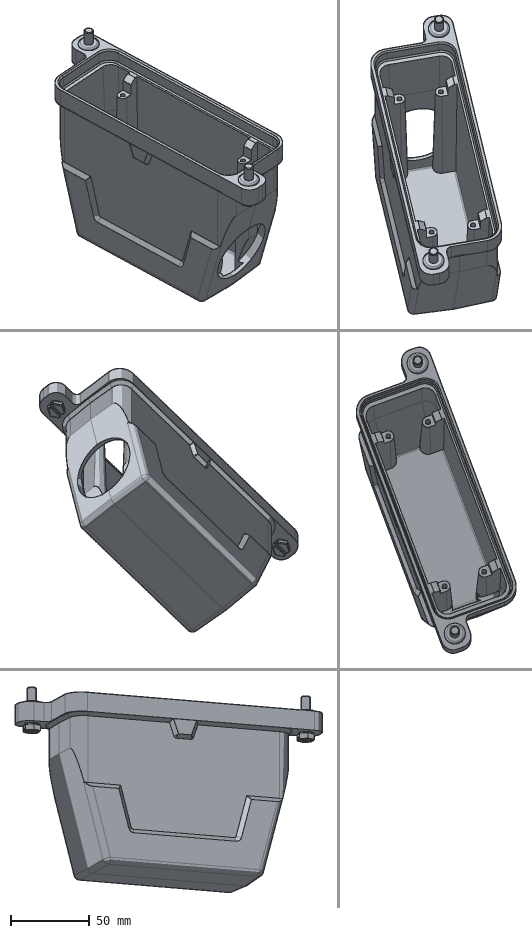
import cadquery as cq
import math

pin_top = 122.7
flange_top = 111.5
flange_thickness = 12.5
flange_bottom = flange_top - flange_thickness

flange_length = 156.3
flange_width = 57.9
flange_radius = 11.2
ear_reach = 96.5
ear_width = 19.3
ear_radius = 7.7
ear_blend_radius = 3.7

body_length = 150.5
body_width = 52.9
body_radius = 8.9
neck_height = 2.3
end_angle = 15.0
end_slope = math.tan(math.radians(end_angle))
bend_height = 76.5
parting_draft = 2.0
bottom_half = body_length / 2 - bend_height * end_slope

skirt_width = 58.0
skirt_depth = (skirt_width - body_width) / 2
skirt_top = 53.0
skirt_edge_radius = 3.9
step_height = 24.9
step_top_half = 43.2
step_bottom_half = step_top_half - (skirt_top - step_height) * end_slope
skirt_bevel = 2.9
step_corner_radius = 1.0

tab_top_half = 11.4
tab_bottom_half = 6.2
tab_width = 57.7
tab_bottom = 86.8
tab_corner_radius = 2.0

recess_depth = 9.0
recess_length = 153.2
recess_width = 53.8
recess_radius = 10.0
recess_draft = 1.0
lead_in = 1.0
seat_bevel = 1.0
ledge_height = flange_top - recess_depth
cavity_length = 143.5
cavity_width = 46.9
cavity_radius = 7.0
cavity_draft = 0.7
cavity_bend_half = 69.7
end_wall = 3.0
floor_height = 4.2
floor_radius = 1.0

post_x = 52.0
post_y = 13.5
post_height = 91.5
post_radius = 3.3
post_draft = 1.2
ramp_bottom = 99.2
ramp_inner_y = 17.5
ramp_outer_y = 21.8
post_hole_radius = 1.5
post_hole_depth = 11.5

entry_radius = 21.8
entry_height = 31.8

bolt_x = 86.5
bolt_y = 19.3
pin_radius = 3.0
pin_chamfer = 0.5
collar_radius = 6.8
collar_height = 1.5
collar_fillet = 1.4
shank_radius = 4.6
head_top = flange_bottom - 1.0
head_bottom = 93.8
head_corner_diameter = 11.5
head_turn = 24.0
head_chamfer = 0.5
slot_width = 2.0
slot_depth = 2.1


def rounded_plate(length, width, radius, bottom, height, taper=0.0):
    """Rounded rectangle centred on Z, extruded from the given level."""
    outline = cq.Sketch().rect(length, width).vertices().fillet(radius)
    return cq.Workplane("XY").workplane(offset=bottom).placeSketch(outline).extrude(height, taper=taper)


def ridged_plate(growth, bottom, height, taper=0.0):
    """Body outline grown outwards; its ends come to a shallow ridge on the mid plane."""
    tip = body_length / 2 + growth
    side = body_width / 2 + growth
    corner = tip - side * math.tan(math.radians(parting_draft))
    points = [(tip, 0), (corner, side), (-corner, side), (-tip, 0), (-corner, -side), (corner, -side)]
    outline = (
        cq.Sketch().polygon(points + points[:1])
        .vertices(">Y or <Y").fillet(body_radius + growth)
    )
    return cq.Workplane("XY").workplane(offset=bottom).placeSketch(outline).extrude(height, taper=taper)


def make_half_envelope():
    """Wedge between the leaning end walls, with draft from the mid plane towards -Y."""
    top_half = bottom_half + pin_top * end_slope
    points = [(-bottom_half, 0), (bottom_half, 0), (top_half, pin_top), (-top_half, pin_top)]
    return cq.Workplane("XZ").polyline(points).close().extrude(skirt_width / 2, taper=parting_draft)


def on_both_sides(solid):
    """The solid joined with its mirror image across the XZ plane."""
    return solid.union(solid.mirror("XZ"))


def make_flange():
    plate = rounded_plate(flange_length, flange_width, flange_radius, flange_bottom, flange_thickness)
    ear_y = (flange_width - ear_width) / 2
    ear = (
        cq.Workplane("XY").workplane(offset=flange_bottom)
        .center(ear_reach / 2, -ear_y)
        .rect(ear_reach, ear_width).extrude(flange_thickness)
        .edges("|Z and >X").fillet(ear_radius)
    )
    plate = plate.union(ear).union(ear.rotate((0, 0, 0), (0, 0, 1), 180))
    inner_corner_y = ear_width - flange_width / 2
    for side in (1, -1):
        corner = cq.selectors.NearestToPointSelector(
            (side * flange_length / 2, side * inner_corner_y, flange_bottom + flange_thickness / 2))
        plate = plate.edges(corner).fillet(ear_blend_radius)
    return plate


def make_body():
    column = ridged_plate(0, skirt_top, flange_bottom - skirt_top).intersect(on_both_sides(make_half_envelope()))
    neck = ridged_plate(neck_height, flange_bottom, -neck_height, taper=45)
    return column.union(neck)


def step_cutter():
    """Bevelled cutter that leaves the stepped upper outline of the skirt on the -Y side."""
    far = body_length
    above = skirt_top + far
    points = [(-far, skirt_top), (-step_top_half, skirt_top), (-step_bottom_half, step_height),
              (step_bottom_half, step_height), (step_top_half, skirt_top), (far, skirt_top),
              (far, above), (-far, above)]
    outline = cq.Sketch().polygon(points + points[:1]).vertices().fillet(step_corner_radius)
    bevel_angle = math.degrees(math.atan(skirt_bevel / skirt_depth))
    return (
        cq.Workplane("XZ", origin=(0, -body_width / 2, 0))
        .placeSketch(outline).extrude(skirt_depth, taper=-bevel_angle)
    )


def make_skirt():
    edges_below_bend = cq.selectors.BoxSelector((-body_length, -skirt_width, -skirt_edge_radius),
                                                (body_length, -skirt_edge_radius, bend_height))
    half_block = make_half_envelope().edges(edges_below_bend).fillet(skirt_edge_radius)
    lower = cq.Workplane("XY").box(2 * body_length, 2 * skirt_width, skirt_top, centered=(True, True, False))
    return on_both_sides(half_block.intersect(lower).cut(step_cutter()))


def make_tabs():
    points = [(-tab_top_half, flange_bottom + neck_height), (tab_top_half, flange_bottom + neck_height),
              (tab_bottom_half, tab_bottom), (-tab_bottom_half, tab_bottom)]
    outline = (
        cq.Sketch().polygon(points + points[:1])
        .vertices("<Y").fillet(tab_corner_radius)
    )
    tab_depth = (tab_width - body_width) / 2
    tab = cq.Workplane("XZ", origin=(0, -body_width / 2, 0)).placeSketch(outline).extrude(tab_depth, taper=45)
    return on_both_sides(tab)


def make_cavity():
    """Drafted cavity with leaning ends, rounded upright corners and a rounded floor edge."""
    slab = (
        cq.Workplane("XY").workplane(offset=ledge_height)
        .rect(cavity_length, cavity_width).extrude(floor_height - ledge_height, taper=cavity_draft)
    )
    top_half = cavity_length / 2
    low_half = bottom_half - end_wall + floor_height * end_slope
    bend = floor_height + (cavity_bend_half - low_half) / end_slope
    points = [(-low_half, floor_height), (low_half, floor_height), (cavity_bend_half, bend),
              (top_half, ledge_height), (-top_half, ledge_height), (-cavity_bend_half, bend)]
    profile = cq.Workplane("XZ").polyline(points).close().extrude(cavity_width, both=True)
    upright_edges = cq.selectors.BoxSelector((-top_half, -cavity_width, floor_height + floor_radius),
                                             (top_half, cavity_width, ledge_height - floor_radius))
    across = cq.selectors.ParallelDirSelector(cq.Vector(0, 1, 0))
    cavity = slab.intersect(profile).edges(upright_edges - across).fillet(cavity_radius)
    return cavity.faces("<Z").edges().fillet(floor_radius)


def make_recess():
    recess = rounded_plate(recess_length - 2 * lead_in, recess_width - 2 * lead_in, recess_radius - lead_in,
                           flange_top, -recess_depth, taper=recess_draft)
    recess = recess.faces("<Z").edges().chamfer(seat_bevel)
    mouth = rounded_plate(recess_length, recess_width, recess_radius, flange_top, -lead_in, taper=45)
    return recess.union(mouth)


def make_post():
    """Post at +X +Y with a ramped shoulder against the cavity wall and a screw hole."""
    wall_y = (cavity_width + body_width) / 4
    outline = (
        cq.Sketch().circle(post_radius)
        .push([(0, (wall_y - post_y) / 2)]).rect(2 * post_radius, wall_y - post_y)
        .clean()
    )
    post = (
        cq.Workplane("XY", origin=(post_x, post_y, ledge_height))
        .placeSketch(outline).extrude(floor_height - ledge_height, taper=-post_draft)
    )
    shoulder_points = [(0, post_height), (ramp_inner_y, post_height), (ramp_inner_y, ramp_bottom),
                       (ramp_outer_y, ledge_height), (0, ledge_height)]
    shoulder = (
        cq.Workplane("YZ", origin=(post_x, 0, 0))
        .polyline(shoulder_points).close().extrude(2 * post_radius, both=True)
    )
    hole = (
        cq.Workplane("XY", origin=(post_x, post_y, post_height))
        .circle(post_hole_radius).extrude(-post_hole_depth)
    )
    return post.cut(shoulder).cut(hole)


def make_posts():
    posts = on_both_sides(make_post())
    return posts.union(posts.mirror("YZ"))


def make_cable_entry():
    """Round cutter square to the leaning end wall."""
    wall_x = bottom_half + entry_height * end_slope
    lean = math.radians(end_angle)
    wall_plane = cq.Plane(origin=(wall_x, 0, entry_height), xDir=(0, 1, 0),
                          normal=(math.cos(lean), 0, -math.sin(lean)))
    return cq.Workplane(wall_plane).circle(entry_radius).extrude(2 * end_wall, both=True)


def make_bolt():
    pin = (
        cq.Workplane("XY").workplane(offset=head_top)
        .circle(pin_radius).extrude(pin_top - head_top)
        .faces(">Z").chamfer(pin_chamfer)
    )
    collar = (
        cq.Workplane("XY").workplane(offset=flange_top)
        .circle(collar_radius).extrude(collar_height)
        .faces(">Z").edges().fillet(collar_fillet)
    )
    shank = cq.Workplane("XY").workplane(offset=head_top).circle(shank_radius).extrude(flange_top - head_top)
    head = (
        cq.Workplane("XY").workplane(offset=head_bottom)
        .transformed(rotate=(0, 0, head_turn))
        .polygon(6, head_corner_diameter).extrude(head_top - head_bottom)
        .faces("<Z").chamfer(head_chamfer)
    )
    slot = (
        cq.Workplane("XY").workplane(offset=head_bottom)
        .rect(2 * head_corner_diameter, slot_width).extrude(slot_depth)
    )
    return pin.union(collar).union(shank).union(head.cut(slot))


outer = make_flange().union(make_body()).union(make_skirt()).union(make_tabs())
cavity = make_cavity().cut(make_posts())
hood = outer.cut(make_recess()).cut(cavity).cut(make_cable_entry())

bolt = make_bolt()
for side in (1, -1):
    hood = hood.union(bolt.translate((side * bolt_x, -side * bolt_y, 0)))

result = hood